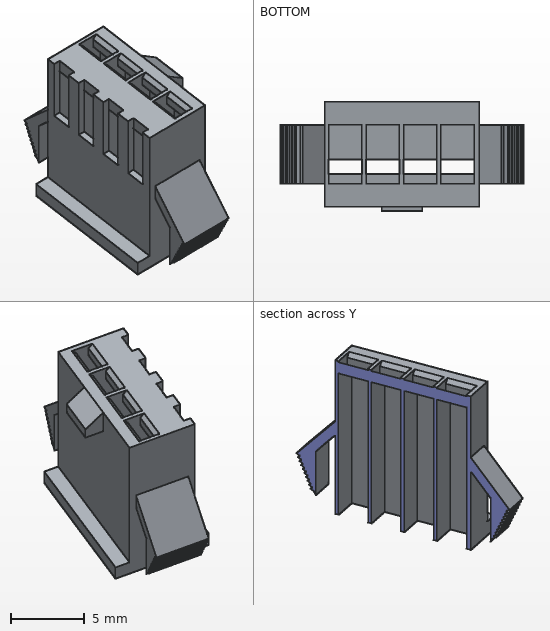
import cadquery as cq
import math


BODY_WIDTH = 10.5
BODY_DEPTH = 5.0
HEIGHT = 11.95
FLANGE_DEPTH = 7.14
FLANGE_HEIGHT = 1.08

WAY_COUNT = 4
WAY_PITCH = 2.54
ROW_OFFSET = -0.04
CAVITY_WIDTH = 2.25
WALL = 0.5
ROOF_DEPTH = 0.98
MOUTH_REAR = 1.63
MOUTH_FRONT = 0.07
LEAD_IN_RUN = 0.3
LEAD_IN_DROP = 0.3

WINDOW_WIDTH = 1.5
WINDOW_HEIGHT = 4.77

HOOK_WIDTH = 2.78
HOOK_REACH = 1.36
HOOK_HEIGHT = 1.77
HOOK_SLOPE_DROP = 1.0

ARM_DEPTH = 4.0
ARM_ROOT_TOP = 7.21
ARM_ROOT_THICKNESS = 1.13
ARM_GAP = 1.5
ARM_SPAN = 16.52
ARM_TIP_Z = 3.92
ARM_BOTTOM_Z = 1.04
ARM_EMBED = 0.2

TOOTH_COUNT = 10
TOOTH_PITCH = 0.3
TOOTH_FACE = 0.3
TOOTH_FACE_ANGLE = 30
TOOTH_ROW_ANGLE = 24

BODY_SIDE = BODY_WIDTH / 2
BODY_BACK = BODY_DEPTH / 2


def box(x_range, y_range, z_range):
    """Box spanning the given (low, high) ranges."""
    lengths = [high - low for low, high in (x_range, y_range, z_range)]
    corner = (x_range[0], y_range[0], z_range[0])
    return cq.Workplane("XY").box(*lengths, centered=False).translate(corner)


def centred(middle, size):
    """(low, high) range of the given size around a middle."""
    return (middle - size / 2, middle + size / 2)


def make_body():
    width = centred(0, BODY_WIDTH)
    block = box(width, centred(0, BODY_DEPTH), (0, HEIGHT))
    flange = box(width, centred(0, FLANGE_DEPTH), (0, FLANGE_HEIGHT))
    return block.union(flange)


def make_hook():
    top_face_edge = (BODY_BACK, HEIGHT)
    outline = [
        top_face_edge,
        (BODY_BACK + HOOK_REACH, HEIGHT - HOOK_SLOPE_DROP),
        (BODY_BACK + HOOK_REACH, HEIGHT - HOOK_HEIGHT),
        (BODY_BACK, HEIGHT - HOOK_HEIGHT),
    ]
    return cq.Workplane("YZ").polyline(outline).close().extrude(HOOK_WIDTH / 2, both=True)


def make_arm():
    """Latch arm on the +X side: a sloping strut ending in a serrated grip."""
    tip_x = ARM_SPAN / 2
    grip_x = BODY_SIDE + ARM_GAP
    slope = (ARM_ROOT_TOP - ARM_TIP_Z) / (tip_x - BODY_SIDE)
    root_x = BODY_SIDE - ARM_EMBED
    root_z = ARM_ROOT_TOP + slope * ARM_EMBED

    row_angle = math.radians(TOOTH_ROW_ANGLE)
    face_angle = math.radians(TOOTH_FACE_ANGLE)
    outline = [(root_x, root_z)]
    for tooth in range(TOOTH_COUNT):
        x = tip_x - tooth * TOOTH_PITCH * math.sin(row_angle)
        z = ARM_TIP_Z - tooth * TOOTH_PITCH * math.cos(row_angle)
        outline.append((x, z))
        outline.append((x - TOOTH_FACE * math.cos(face_angle), z - TOOTH_FACE * math.sin(face_angle)))
    outline.append((grip_x, ARM_BOTTOM_Z))
    outline.append((grip_x, ARM_ROOT_TOP - ARM_ROOT_THICKNESS - slope * ARM_GAP))
    outline.append((root_x, root_z - ARM_ROOT_THICKNESS))
    return cq.Workplane("XZ").polyline(outline).close().extrude(ARM_DEPTH / 2, both=True)


def make_way(x):
    """Cutter for one way: cavity open at the bottom, wire mouth and front window."""
    roof_z = HEIGHT - ROOF_DEPTH
    throat_z = HEIGHT - LEAD_IN_DROP
    cavity_x = centred(x, CAVITY_WIDTH)
    inner_face = BODY_BACK - WALL
    cavity = box(cavity_x, (-inner_face, inner_face), (0, roof_z))

    throat_rear = MOUTH_REAR - LEAD_IN_RUN
    throat_front = MOUTH_FRONT + LEAD_IN_RUN
    mouth_outline = [
        (MOUTH_REAR, HEIGHT),
        (throat_rear, throat_z),
        (throat_rear, roof_z),
        (throat_front, roof_z),
        (throat_front, throat_z),
        (MOUTH_FRONT, HEIGHT),
    ]
    mouth = cq.Workplane("YZ", origin=(cavity_x[0], 0, 0))
    mouth = mouth.polyline(mouth_outline).close().extrude(CAVITY_WIDTH)

    window = box(centred(x, WINDOW_WIDTH), (-BODY_BACK, -inner_face), (HEIGHT - WINDOW_HEIGHT, HEIGHT))
    return cavity.union(mouth).union(window)


right_arm = make_arm()
left_arm = right_arm.mirror("YZ")
result = make_body().union(make_hook()).union(right_arm).union(left_arm)
for way in range(WAY_COUNT):
    result = result.cut(make_way(ROW_OFFSET + (way - (WAY_COUNT - 1) / 2) * WAY_PITCH))